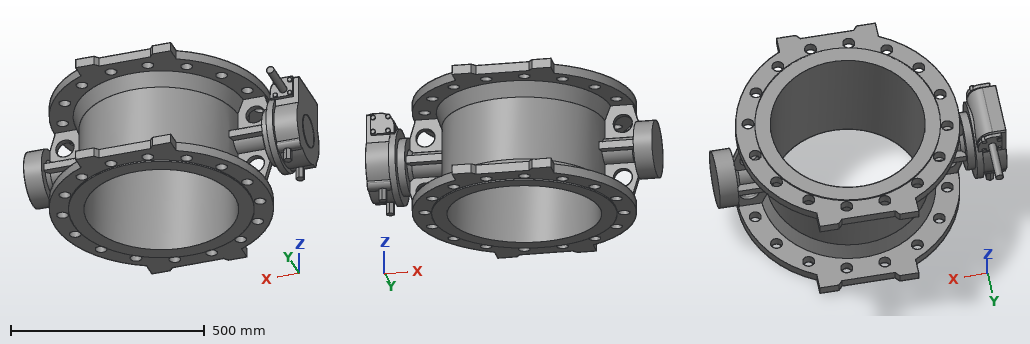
import cadquery as cq
import math

body_height = 310.0
bore_d = 400.0
raised_face_d = 480.0
raised_face_h = 4.0
flange_d = 580.0
flange_t = 25.0
barrel_r = 213.0
barrel_half_h = 86.0
cone_end_r = 228.0

flange_outer_z = body_height / 2 - raised_face_h
flange_inner_z = flange_outer_z - flange_t

bolt_hole_d = 30.0
bolt_circle_d = 515.0
bolt_count = 16

foot_half_w = 130.0
foot_y = 302.0
foot_recess_y = 290.0
foot_pad_inner_x = 80.0
foot_recess_half_w = 70.0

shaft_offset_y = 3.0
boss_d = 150.0
boss_face_x = 301.0
end_boss_x = 350.0
hub_r = 36.0
hub_flare_r = 45.0
hub_flare_len = 10.5
web_t = 15.0
web_top_x = 286.0
web_hole_d = 50.0
web_hole_x = 260.0
web_hole_z = 75.0
rib_t = 20.0
rib_w = 109.0

gear_cap_x = -404.0
gear_front_x = -402.0
gear_back_x = -339.0
mount_back_x = -321.5
mount_d = 200.0
gear_cap_d = 88.0
gear_r = 87.5
head_half_w = 75.0
head_top_z = 125.0
head_edge_chamfer = 4.0
head_back_x = -326.0
head_round_r = 41.0

cover_front_x = -388.5
cover_bottom_z = 65.0
cover_round_r = 36.0
cover_t = 10.0
screw_d = 12.0
screw_head_h = 4.0
screw_xs = (-382.0, -342.5)
screw_zs = (71.0, 110.0)
input_shaft_d = 20.0
input_shaft_x = -363.5
input_shaft_z = 85.5
input_shaft_end_y = 188.0

stop_lug_half_w = 66.0
stop_lug_bottom_z = -77.0
stop_lug_round_r = 15.0
stop_screw_flats = 19.0
stop_screw_y = 49.0
stop_screw_bottom_z = -108.0


def x_cylinder(radius, x_start, x_end):
    """Cylinder on the X axis between two X positions."""
    return cq.Workplane("YZ", origin=(x_start, 0, 0)).circle(radius).extrude(x_end - x_start)


def box_between(x_range, y_range, z_range):
    """Axis-aligned box given by its limits."""
    size = [high - low for low, high in (x_range, y_range, z_range)]
    corner = (x_range[0], y_range[0], z_range[0])
    return cq.Workplane("XY", origin=corner).box(*size, centered=False)


def make_barrel():
    """Solid of revolution: barrel, flared ends and raised sealing faces."""
    outline = [
        (0, -body_height / 2),
        (raised_face_d / 2, -body_height / 2),
        (raised_face_d / 2, -flange_inner_z),
        (cone_end_r, -flange_inner_z),
        (barrel_r, -barrel_half_h),
        (barrel_r, barrel_half_h),
        (cone_end_r, flange_inner_z),
        (raised_face_d / 2, flange_inner_z),
        (raised_face_d / 2, body_height / 2),
        (0, body_height / 2),
    ]
    return cq.Workplane("XZ").polyline(outline).close().revolve(360, (0, 0, 0), (0, 1, 0))


def make_flange(z_bottom):
    """Round drilled flange with a two-pad foot on its +Y and -Y sides."""
    foot_outline = [
        (-foot_half_w, 0),
        (foot_half_w, 0),
        (foot_half_w, foot_y),
        (foot_pad_inner_x, foot_y),
        (foot_recess_half_w, foot_recess_y),
        (-foot_recess_half_w, foot_recess_y),
        (-foot_pad_inner_x, foot_y),
        (-foot_half_w, foot_y),
    ]
    plane = cq.Workplane("XY", origin=(0, 0, z_bottom))
    flange = plane.circle(flange_d / 2).extrude(flange_t)
    foot = plane.polyline(foot_outline).close().extrude(flange_t)
    pitch = 360 / bolt_count
    holes = (
        plane.polarArray(bolt_circle_d / 2, pitch / 2, 360, bolt_count)
        .circle(bolt_hole_d / 2)
        .extrude(flange_t)
    )
    return flange.union(foot).union(foot.mirror("XZ")).cut(holes)


def make_hub_side():
    """Shaft hub, drilled vertical web and horizontal rib on the +X side."""
    flare_start_x = boss_face_x - hub_flare_len
    hub_outline = [
        (0, 0),
        (0, hub_r),
        (flare_start_x, hub_r),
        (boss_face_x, hub_flare_r),
        (boss_face_x, 0),
    ]
    hub = cq.Workplane("XZ").polyline(hub_outline).close().revolve(360, (0, 0, 0), (1, 0, 0))
    web_outline = [
        (0, -flange_inner_z),
        (web_top_x, -flange_inner_z),
        (boss_face_x, -boss_d / 2),
        (boss_face_x, boss_d / 2),
        (web_top_x, flange_inner_z),
        (0, flange_inner_z),
    ]
    web = cq.Workplane("XZ").polyline(web_outline).close().extrude(web_t / 2, both=True)
    web_holes = (
        cq.Workplane("XZ")
        .pushPoints([(web_hole_x, -web_hole_z), (web_hole_x, web_hole_z)])
        .circle(web_hole_d / 2)
        .extrude(web_t, both=True)
    )
    rib = box_between((0, boss_face_x), (-rib_w / 2, rib_w / 2), (-rib_t / 2, rib_t / 2))
    return web.cut(web_holes).union(hub).union(rib)


def rounded_profile(x_front, z_bottom, center_x, center_z, radius):
    """Side profile: a rectangle whose upper rear corner is an arc about the given center."""
    mid_offset = radius * math.sqrt(0.5)
    return (
        cq.Workplane("XZ")
        .moveTo(x_front, z_bottom)
        .lineTo(x_front, center_z + radius)
        .lineTo(center_x, center_z + radius)
        .threePointArc((center_x + mid_offset, center_z + mid_offset), (center_x + radius, center_z))
        .lineTo(center_x + radius, z_bottom)
        .close()
    )


def make_gearbox():
    """Round gear housing with its head, mounting disc and front cap."""
    round_x = head_back_x - head_round_r
    round_z = head_top_z - head_round_r
    head = rounded_profile(gear_front_x, 0, round_x, round_z, head_round_r)
    head = head.extrude(head_half_w, both=True)
    head = head.faces("<Y or >Y").edges("%CIRCLE or >Z").chamfer(head_edge_chamfer)
    housing = x_cylinder(gear_r, gear_front_x, gear_back_x)
    mount = x_cylinder(mount_d / 2, gear_back_x, mount_back_x)
    cap = x_cylinder(gear_cap_d / 2, gear_cap_x, gear_front_x)
    return head.union(housing).union(mount).union(cap)


def make_side_cover():
    """Cover plate with four screw heads on the +Y side of the head."""
    cover = rounded_profile(cover_front_x, cover_bottom_z, input_shaft_x, input_shaft_z, cover_round_r)
    cover = cover.extrude(-cover_t)
    screws = (
        cq.Workplane("XZ")
        .pushPoints([(x, z) for x in screw_xs for z in screw_zs])
        .circle(screw_d / 2)
        .extrude(-cover_t - screw_head_h)
    )
    return cover.union(screws).translate((0, head_half_w, 0))


def make_input_shaft():
    """Input shaft leaving the head towards +Y."""
    return (
        cq.Workplane("XZ")
        .center(input_shaft_x, input_shaft_z)
        .circle(input_shaft_d / 2)
        .extrude(-input_shaft_end_y)
    )


def make_stop_screws():
    """Lug across the bottom of the housing with two hexagonal stop screws."""
    lug = box_between(
        (gear_front_x, gear_back_x),
        (-stop_lug_half_w, stop_lug_half_w),
        (stop_lug_bottom_z, 0),
    )
    lug = lug.edges("|X and <Z").fillet(stop_lug_round_r)
    across_corners = stop_screw_flats / math.cos(math.pi / 6)
    screws = (
        cq.Workplane("XY", origin=(input_shaft_x, 0, stop_screw_bottom_z))
        .transformed(rotate=(0, 0, 90))
        .pushPoints([(-stop_screw_y, 0), (stop_screw_y, 0)])
        .polygon(6, across_corners)
        .extrude(stop_lug_bottom_z - stop_screw_bottom_z)
    )
    return lug.union(screws)


def make_shaft_supports():
    """Hubs, webs and ribs of both sides, centred on the X axis."""
    hub_side = make_hub_side()
    return hub_side.union(hub_side.mirror("YZ"))


def make_shaft_ends():
    """End bosses and the complete gearbox, centred on the X axis."""
    side_cover = make_side_cover()
    return (
        make_gearbox()
        .union(side_cover)
        .union(side_cover.mirror("XZ"))
        .union(make_input_shaft())
        .union(make_stop_screws())
        .union(x_cylinder(boss_d / 2, mount_back_x, -boss_face_x))
        .union(x_cylinder(boss_d / 2, boss_face_x, end_boss_x))
    )


to_shaft_line = (0, shaft_offset_y, 0)
bore = cq.Workplane("XY").circle(bore_d / 2).extrude(body_height, both=True)

result = make_barrel()
for flange_bottom_z in (flange_inner_z, -flange_outer_z):
    result = result.union(make_flange(flange_bottom_z))
result = result.union(make_shaft_supports().translate(to_shaft_line))
result = result.cut(bore)
result = result.union(make_shaft_ends().translate(to_shaft_line))